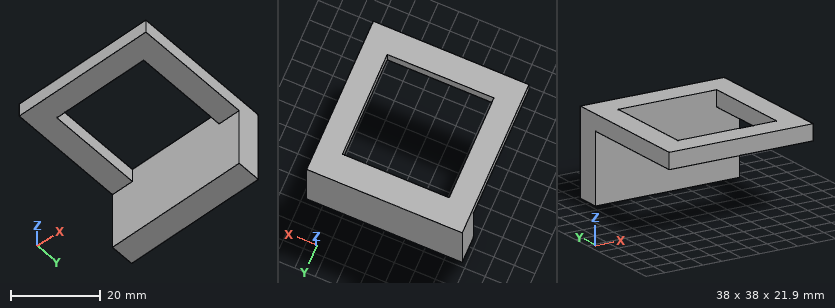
import cadquery as cq

side = 38.0
height = 21.9

plate_thickness = 4.1
rim_width = 6.0
leg_thickness = 6.5

window_x = side - 2 * rim_width
window_y = side - rim_width - leg_thickness


def corner_box(size_x, size_y, size_z, corner):
    """Box whose lowest X, Y, Z corner sits at the given point."""
    return cq.Workplane("XY").box(size_x, size_y, size_z, centered=False).translate(corner)


plate = corner_box(side, side, plate_thickness, (0, 0, height - plate_thickness))
leg = corner_box(side, leg_thickness, height, (0, side - leg_thickness, 0))
window = corner_box(window_x, window_y, height, (rim_width, rim_width, 0))

result = plate.union(leg).cut(window)